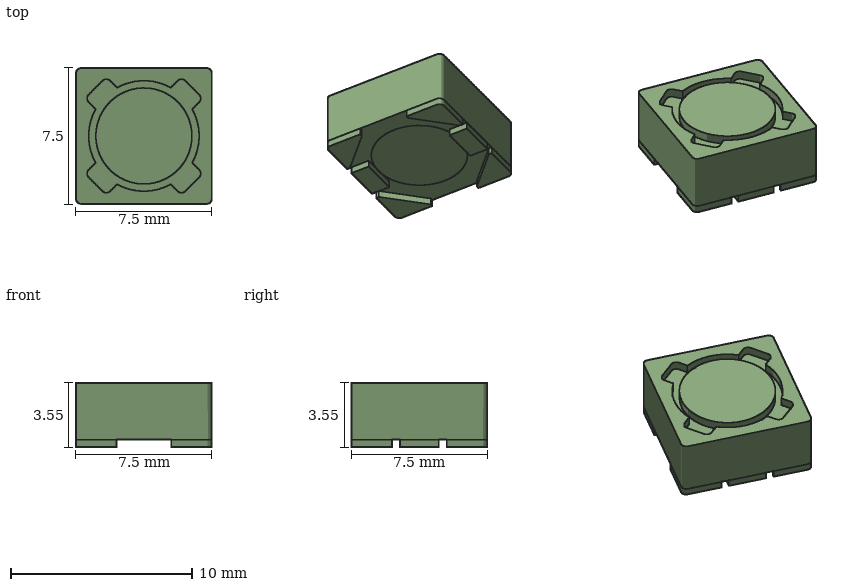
import cadquery as cq

side = 7.5
total_height = 3.55
corner_radius = 0.3
pad_height = 0.41
housing_height = total_height - pad_height

recess_depth = 0.5
recess_radius = 3.045
core_radius = 2.65
arm_reach = 3.765
arm_width = 1.67
arm_corner_radius = 0.3
arm_angles = (45, 135)

corner_pad_size = 2.25
corner_pad_end = 0.17
middle_pad_width = 2.15
middle_pad_length = 1.125


def rounded_block(height, bottom):
    """Square block with rounded vertical edges, centred on the Z axis."""
    return (
        cq.Workplane("XY", origin=(0, 0, bottom))
        .rect(side, side)
        .extrude(height)
        .edges("|Z")
        .fillet(corner_radius)
    )


def recess_cutter():
    """Round recess with four diagonal arms, open at the housing top."""
    floor = cq.Workplane("XY", origin=(0, 0, total_height - recess_depth))
    cutter = floor.circle(recess_radius).extrude(recess_depth)
    bar = (
        floor.rect(2 * arm_reach, arm_width)
        .extrude(recess_depth)
        .edges("|Z")
        .fillet(arm_corner_radius)
    )
    for angle in arm_angles:
        cutter = cutter.union(bar.rotate((0, 0, 0), (0, 0, 1), angle))
    return cutter


def make_housing():
    """Square housing with the top recess and a through bore matching the core."""
    return rounded_block(housing_height, pad_height).cut(recess_cutter()).cut(make_core())


def make_core():
    """Round core running the full height of the housing, flush at both ends."""
    return (
        cq.Workplane("XY", origin=(0, 0, pad_height))
        .circle(core_radius)
        .extrude(housing_height)
    )


def make_corner_pad(x_sign, y_sign):
    """Pad following the housing corner, its inner side cut off diagonally."""
    outer = side / 2
    inner = outer - corner_pad_size
    shoulder = outer - corner_pad_end
    outline = [(outer, outer), (inner, outer), (inner, shoulder), (shoulder, inner), (outer, inner)]
    return (
        cq.Workplane("XY")
        .polyline([(x_sign * x, y_sign * y) for x, y in outline])
        .close()
        .extrude(pad_height)
        .intersect(rounded_block(pad_height, 0))
    )


def make_middle_pad(x_sign):
    """Plain pad halfway along an X side, flush with the housing wall."""
    return (
        cq.Workplane("XY")
        .center(x_sign * (side - middle_pad_length) / 2, 0)
        .rect(middle_pad_length, middle_pad_width)
        .extrude(pad_height)
    )


housing = make_housing()
core = make_core()

corner_pads = []
middle_pads = []
for x_sign in (-1, 1):
    middle_pads.append(make_middle_pad(x_sign).val())
    for y_sign in (-1, 1):
        corner_pads.append(make_corner_pad(x_sign, y_sign).val())

result = cq.Compound.makeCompound([housing.val(), core.val(), *corner_pads, *middle_pads])